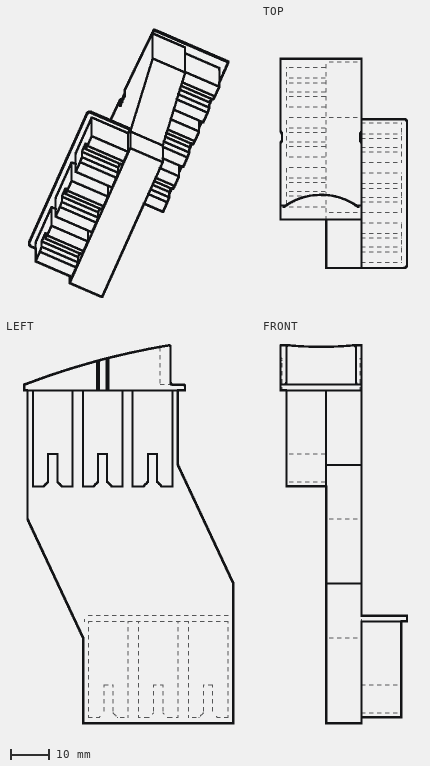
import cadquery as cq

web_thickness = 9.3
web_depth = 39.4
web_shift = 14.5
web_height = 87.1
front_bend_low = 36.6
back_bend_low = 22.4
bend_rise = 31.1

leg_reach = 10.4
leg_width = 10.4
leg_length = 25.1
leg_pitch = 13.1
leg_slot_width = 2.4
leg_slot_height = 8.4
leg_slot_chamfer = 1.2

plate_thickness = 1.5
flange_reach = 11.9
flange_depth = 39.0
flange_top = 28.2
flange_corner_radius = 0.8

cap_width = 21.3
cap_front = 12.7
cap_back = 54.8
cap_top = 99.0
cap_wall_y = 16.4
cap_mid_y = 35.3
cap_mid_z = 95.0
cap_edge_radius = 0.5
cap_back_radius = 0.3
scoop_radius = 16.3
scoop_back = 19.2
grip_depth = 0.4
grip_outer_width = 3.1
grip_inner_width = 1.9

cap_left = web_thickness - cap_width
cap_mid_x = web_thickness - cap_width / 2
cap_plate_top = web_height + plate_thickness
upper_mid_y = web_shift + web_depth / 2


def extrude_along_x(outline, start_x, length):
    """Move a profile drawn in the YZ plane to start_x and extrude it towards +X."""
    return outline.extrude(length).translate((start_x, 0, 0))


def make_web():
    outline = cq.Workplane("YZ").polyline([
        (0, 0),
        (0, front_bend_low),
        (web_shift, front_bend_low + bend_rise),
        (web_shift, web_height),
        (web_shift + web_depth, web_height),
        (web_shift + web_depth, back_bend_low + bend_rise),
        (web_depth, back_bend_low),
        (web_depth, 0),
    ]).close()
    return extrude_along_x(outline, 0, web_thickness)


def make_legs(start_x, mid_y, top_z):
    """Three legs hanging from top_z, each with a flared slot in its lower end."""
    bottom = top_z - leg_length
    slot_half = leg_slot_width / 2
    flare_half = slot_half + leg_slot_chamfer
    legs = cq.Workplane("YZ")
    for row in (-1, 0, 1):
        y = mid_y + row * leg_pitch
        outline = cq.Workplane("YZ").polyline([
            (y - leg_width / 2, top_z),
            (y - leg_width / 2, bottom),
            (y - flare_half, bottom),
            (y - slot_half, bottom + leg_slot_chamfer),
            (y - slot_half, bottom + leg_slot_height),
            (y + slot_half, bottom + leg_slot_height),
            (y + slot_half, bottom + leg_slot_chamfer),
            (y + flare_half, bottom),
            (y + leg_width / 2, bottom),
            (y + leg_width / 2, top_z),
        ]).close()
        legs = legs.add(extrude_along_x(outline, start_x, leg_reach))
    return legs.combine()


def make_flange():
    flange = cq.Workplane("XY").box(flange_reach, flange_depth, plate_thickness, centered=False)
    flange = flange.edges("|Z and >X").fillet(flange_corner_radius)
    return flange.translate((web_thickness, 0, flange_top - plate_thickness))


def make_cap():
    outline = (
        cq.Workplane("YZ")
        .moveTo(cap_front, web_height)
        .lineTo(cap_front, cap_plate_top)
        .lineTo(cap_wall_y, cap_plate_top)
        .lineTo(cap_wall_y, cap_top)
        .threePointArc((cap_mid_y, cap_mid_z), (cap_back, cap_plate_top))
        .lineTo(cap_back, web_height)
        .close()
    )
    cap = extrude_along_x(outline, cap_left, cap_width)

    front_edges = [(cap_front, cap_plate_top), (cap_wall_y, cap_plate_top), (cap_wall_y, cap_top)]
    for y, z in front_edges:
        cap = cap.edges(cq.NearestToPointSelector((cap_mid_x, y, z))).fillet(cap_edge_radius)
    back_edge = cq.NearestToPointSelector((cap_mid_x, cap_back, cap_plate_top))
    cap = cap.edges(back_edge).fillet(cap_back_radius)

    scoop = (
        cq.Workplane("XY", origin=(cap_mid_x, scoop_back - scoop_radius, cap_plate_top))
        .circle(scoop_radius)
        .extrude(cap_top - web_height)
    )
    cap = cap.cut(scoop)

    for side in (-1, 1):
        face_x = cap_mid_x + side * cap_width / 2
        floor_x = face_x - side * grip_depth
        groove = cq.Workplane("XY", origin=(0, upper_mid_y, web_height)).polyline([
            (face_x, -grip_outer_width / 2),
            (floor_x, -grip_inner_width / 2),
            (floor_x, grip_inner_width / 2),
            (face_x, grip_outer_width / 2),
        ]).close().extrude(cap_top - web_height)
        cap = cap.cut(groove)
    return cap


upper_legs = make_legs(-leg_reach, upper_mid_y, web_height)
lower_legs = make_legs(web_thickness, web_depth / 2, flange_top - plate_thickness)

result = make_web().union(upper_legs).union(lower_legs).union(make_flange()).union(make_cap())